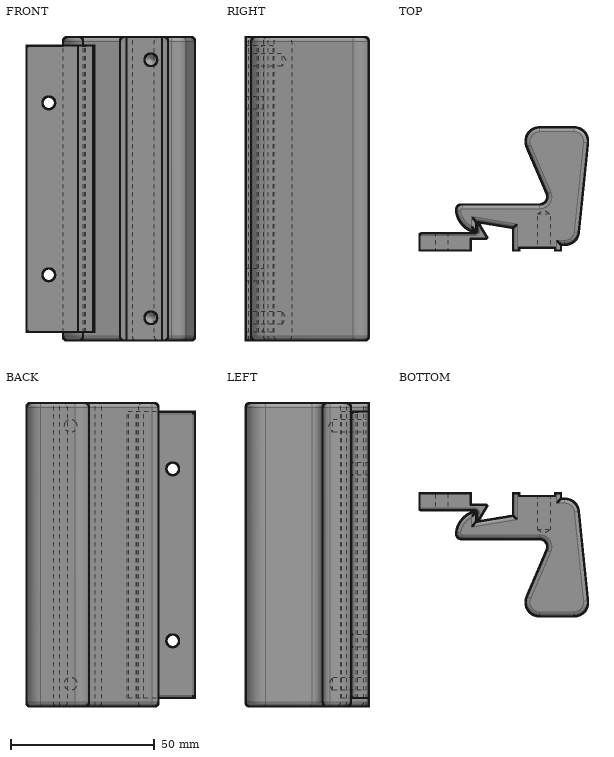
import cadquery as cq
import math

handle_length = 106.0
plate_length = 100.0
mid_height = handle_length / 2
plate_thickness = 6.0

handle_depth = 43.0
shelf_y = 16.1
grip_left_x = 34.5
grip_right_x = 59.5
grip_root_x = 46.0
grip_heel_x = 55.2
heel_y = 1.9
grip_radius = 5.0
root_radius = 2.6
nose_start_x = 15.0
nose_mid = (13.4, 15.5)
nose_end = (12.8, 13.6)
hook_back_mid = (15.3, 8.7)
hook_wall_x = 19.8
hook_tip_y = 6.3
slot_deep_y = 10.0
slot_shallow_y = 7.8
foot_left_x = 32.6
foot_right_x = 49.5
relief_left_x = 34.9
relief_right_x = 47.3
relief_depth = 1.0
end_fillet = 1.6
screw_x = 43.5
screw_spacing = 90.0
screw_diameter = 4.5
screw_depth = 12.7
drill_tip_angle = 118.0

plate_width = 18.0
lip_bottom_y = 4.0
lip_wall_x = 20.2
lip_root_radius = 1.1
lip_tip_x = 23.7
lip_tip_flat = 0.4
lip_top_x = 20.7
lip_top_y = 9.6
plate_fillet = 0.8
plate_hole_x = 7.8
plate_hole_spacing = 60.0
plate_hole_diameter = 4.3


def hole_heights(spacing):
    return (mid_height - spacing / 2, mid_height + spacing / 2)


def handle_blank():
    """Extruded handle with its large corners rounded."""
    blank = (
        cq.Workplane("XY")
        .moveTo(nose_start_x, shelf_y)
        .threePointArc(nose_mid, nose_end)
        .threePointArc(hook_back_mid, (hook_wall_x, hook_tip_y))
        .lineTo(hook_wall_x, slot_deep_y)
        .lineTo(foot_left_x, slot_shallow_y)
        .lineTo(foot_left_x, 0)
        .lineTo(foot_right_x, 0)
        .lineTo(foot_right_x, heel_y)
        .lineTo(grip_heel_x, heel_y)
        .lineTo(grip_right_x, handle_depth)
        .lineTo(grip_left_x, handle_depth)
        .lineTo(grip_root_x, shelf_y)
        .close()
        .extrude(handle_length)
    )
    rounded_corners = (
        (grip_heel_x, heel_y, grip_radius),
        (grip_right_x, handle_depth, grip_radius),
        (grip_left_x, handle_depth, grip_radius),
        (grip_root_x, shelf_y, root_radius),
    )
    for x, y, radius in rounded_corners:
        corner = cq.selectors.NearestToPointSelector((x, y, mid_height))
        blank = blank.edges("|Z").edges(corner).fillet(radius)
    return blank


def screw_hole(z):
    """Blind hole with a conical drill tip, entering from the mounting face."""
    radius = screw_diameter / 2
    tip_length = radius / math.tan(math.radians(drill_tip_angle / 2))
    return (
        cq.Workplane("XY", origin=(screw_x, 0, z))
        .polyline([(0, 0), (radius, 0), (radius, screw_depth), (0, screw_depth + tip_length)])
        .close()
        .revolve(360, (0, 0), (0, 1))
    )


def make_handle():
    handle = handle_blank()
    handle = handle.faces("<Z or >Z").edges("not(<Y)").fillet(end_fillet)
    relief = cq.Workplane("XY").box(
        relief_right_x - relief_left_x, relief_depth, handle_length, centered=False
    )
    handle = handle.cut(relief.translate((relief_left_x, 0, 0)))
    for z in hole_heights(screw_spacing):
        handle = handle.cut(screw_hole(z))
    return handle


def make_plate():
    """Flat mounting plate with an angled lip that catches the handle hook."""
    plate = (
        cq.Workplane("XY", origin=(0, 0, mid_height - plate_length / 2))
        .lineTo(plate_width, 0)
        .lineTo(plate_width, lip_bottom_y)
        .lineTo(lip_tip_x - lip_tip_flat, lip_bottom_y)
        .lineTo(lip_tip_x, lip_bottom_y + lip_tip_flat)
        .lineTo(lip_top_x, lip_top_y)
        .lineTo(lip_wall_x, lip_top_y)
        .lineTo(lip_wall_x, plate_thickness)
        .lineTo(0, plate_thickness)
        .close()
        .extrude(plate_length)
    )
    lip_root = cq.selectors.NearestToPointSelector((lip_wall_x, plate_thickness, mid_height))
    plate = plate.edges("|Z").edges(lip_root).fillet(lip_root_radius)
    rear_center = (plate_width / 2, plate_thickness, mid_height)
    rear_face = cq.selectors.NearestToPointSelector(rear_center)
    plate = plate.faces(rear_face).edges("<X or <Z or >Z").fillet(plate_fillet)
    for z in hole_heights(plate_hole_spacing):
        hole = cq.Workplane("XZ", origin=(plate_hole_x, 0, z)).circle(plate_hole_diameter / 2)
        plate = plate.cut(hole.extrude(-plate_thickness))
    return plate


handle = make_handle()
plate = make_plate()
result = cq.Compound.makeCompound([handle.val(), plate.val()])